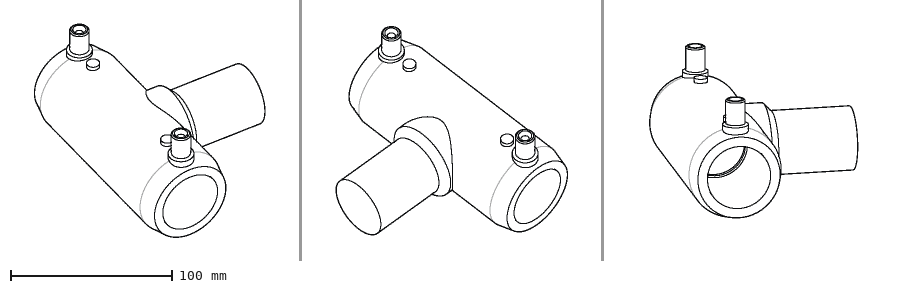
import cadquery as cq

length = 141.0
body_radius = 29.2
end_radius = 26.1
taper_length = 12.0
socket_radius = 20.0
stop_radius = 18.8
stop_width = 2.8

branch_end = 86.0
branch_radius = socket_radius
hub_radius = 25.2
hub_end = 30.9
hub_taper_end = 36.0

terminal_x = length / 2 - 10.9
terminal_top = 47.5
post_radius = 6.0
post_chamfer = 0.8
collar_radius = 8.0
collar_edge = 31.3
collar_slope_rise = 0.8
well_radius = 4.1
well_depth = 11.3
pin_radius = 2.5
pin_recess = 2.8

indicator_x = terminal_x - 16.1
indicator_radius = 4.1
indicator_top = body_radius + 2.5


def cylinder_up(radius, bottom, top):
    """Vertical cylinder on the Z axis between two heights."""
    return cq.Workplane("XY").workplane(offset=bottom).circle(radius).extrude(top - bottom)


def make_body():
    """Solid sleeve with a conical taper at each end."""
    half = length / 2
    taper_start = half - taper_length
    profile = [
        (-half, 0),
        (-half, end_radius),
        (-taper_start, body_radius),
        (taper_start, body_radius),
        (half, end_radius),
        (half, 0),
    ]
    return cq.Workplane("XY").polyline(profile).close().revolve(360, (0, 0, 0), (1, 0, 0))


def make_branch():
    """Solid spigot with a tapered hub, starting on the sleeve axis."""
    profile = [
        (0, 0),
        (hub_radius, 0),
        (hub_radius, hub_end),
        (branch_radius, hub_taper_end),
        (branch_radius, branch_end),
        (0, branch_end),
    ]
    return cq.Workplane("XY").polyline(profile).close().revolve(360, (0, 0, 0), (0, 1, 0))


def make_bore():
    """Cutter for the two pipe sockets and the narrower stop between them."""
    socket_depth = (length - stop_width) / 2
    bore = cq.Workplane("YZ").circle(stop_radius).extrude(length / 2, both=True)
    for start in (-length / 2, stop_width / 2):
        socket = cq.Workplane("YZ").workplane(offset=start).circle(socket_radius).extrude(socket_depth)
        bore = bore.union(socket)
    return bore


def make_terminal():
    """Post on a collar with a sloping top, with a contact pin in its well."""
    profile = [
        (0, socket_radius),
        (collar_radius, socket_radius),
        (collar_radius, collar_edge),
        (post_radius, collar_edge + collar_slope_rise),
        (post_radius, terminal_top - post_chamfer),
        (post_radius - post_chamfer, terminal_top),
        (0, terminal_top),
    ]
    post = cq.Workplane("XZ").polyline(profile).close().revolve(360, (0, 0, 0), (0, 1, 0))
    well_bottom = terminal_top - well_depth
    well = cylinder_up(well_radius, well_bottom, terminal_top)
    pin = cylinder_up(pin_radius, well_bottom, terminal_top - pin_recess)
    return post.cut(well).union(pin)


result = make_body().union(make_branch())
for side in (-1, 1):
    result = result.union(make_terminal().translate((side * terminal_x, 0, 0)))
    indicator = cylinder_up(indicator_radius, socket_radius, indicator_top)
    result = result.union(indicator.translate((side * indicator_x, 0, 0)))
result = result.cut(make_bore())